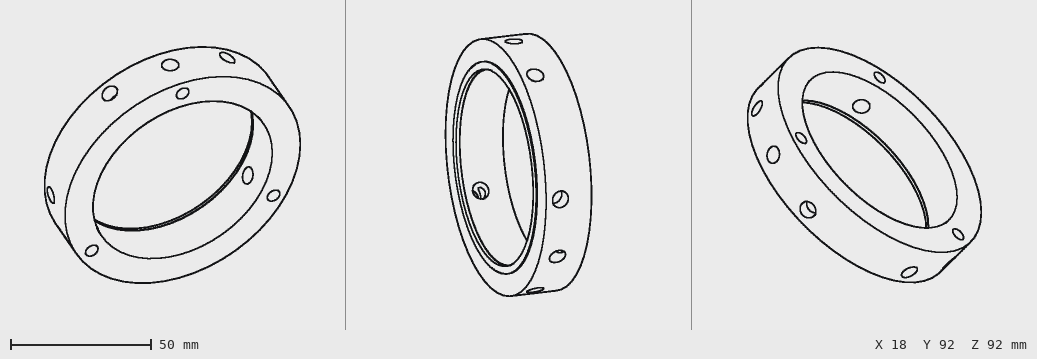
import cadquery as cq
import math

outer_diameter = 92.0
bore_diameter = 70.0
width = 18.0

lip_diameter = 76.0
lip_height = 0.5

relief_diameter = 70.5
relief_depth = 1.4

spanner_diameter = 6.1
spanner_depth = 6.0
spanner_x = 6.0
spanner_count = 6
drill_point_angle = 118.0

screw_diameter = 6.1
screw_x = 7.45
screw_count = 3
first_screw_angle = 90.0

axial_diameter = 4.9
axial_circle_diameter = 82.0

outer_radius = outer_diameter / 2


def disc(diameter, start, length):
    """Solid cylinder along X."""
    return cq.Workplane("YZ", origin=(start, 0, 0)).circle(diameter / 2).extrude(length)


def place_radially(cutter, x, angle):
    """Turn a cutter from the +Y direction about the X axis, then slide it along X."""
    return cutter.rotate((0, 0, 0), (1, 0, 0), angle).translate((x, 0, 0))


def spanner_cutter():
    """Drilled hole along Y: straight wall and a conical bottom."""
    radius = spanner_diameter / 2
    floor = outer_radius - spanner_depth
    tip = floor - radius / math.tan(math.radians(drill_point_angle / 2))
    profile = [(0, tip), (radius, floor), (radius, outer_radius), (0, outer_radius)]
    return cq.Workplane("XY").polyline(profile).close().revolve(360, (0, 0, 0), (0, 1, 0))


def screw_cutter():
    """Straight hole along +Y, from the axis out to the rim."""
    return cq.Workplane("XZ").circle(screw_diameter / 2).extrude(-outer_radius)


def axial_cutter():
    """Straight hole along X on the +Y side, from the screw hole axis to the far face."""
    hole = disc(axial_diameter, screw_x, width - screw_x)
    return hole.translate((0, axial_circle_diameter / 2, 0))


body = disc(outer_diameter, lip_height, width - lip_height)
body = body.union(disc(lip_diameter, 0, width))
body = body.cut(disc(bore_diameter, 0, width))
body = body.cut(disc(relief_diameter, 0, relief_depth))

for index in range(spanner_count):
    body = body.cut(place_radially(spanner_cutter(), spanner_x, index * 360 / spanner_count))

for index in range(screw_count):
    angle = first_screw_angle + index * 360 / screw_count
    body = body.cut(place_radially(screw_cutter(), screw_x, angle))
    body = body.cut(place_radially(axial_cutter(), 0, angle))

result = body